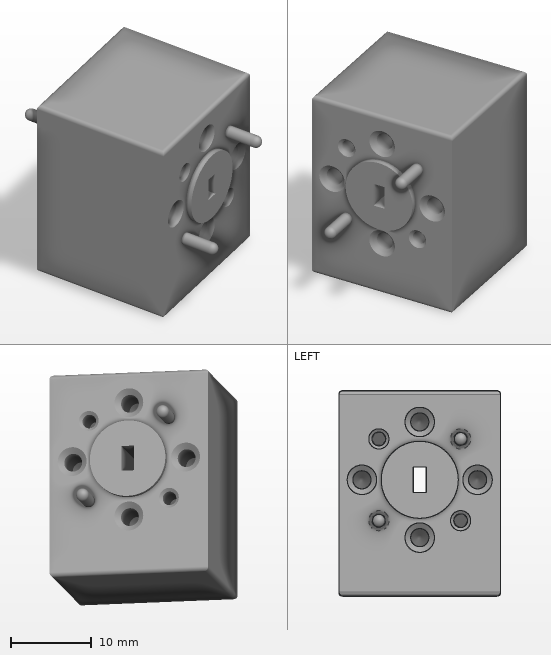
import cadquery as cq
import math


overall_length = 28.0
block_length = 18.5
block_width = 20.0
block_height = 25.4
edge_radius = 0.5

port_height = 1.68
flange_diameter = 9.52
flange_thickness = 0.75
bolt_circle_diameter = 14.28

channel_width = 1.57
channel_height = 3.1

pin_diameter = 1.57
pin_embedment = 1.57
pin_angles = (45, 225)
pin_hole_angles = (135, 315)
pin_hole_diameter = 1.7
pin_hole_mouth_diameter = 2.5
pin_hole_depth = 5.0

screw_angles = (0, 90, 180, 270)
screw_hole_diameter = 2.25
screw_hole_mouth_diameter = 3.65
screw_hole_depth = 6.0
drill_point_angle = 118.0

end_face = block_length / 2
pin_radius = pin_diameter / 2
bolt_circle_radius = bolt_circle_diameter / 2


def bolt_circle_point(angle):
    """Y and Z of a bolt-circle station, angle measured from +Y towards +Z."""
    turn = math.radians(angle)
    y = bolt_circle_radius * math.cos(turn)
    z = port_height + bolt_circle_radius * math.sin(turn)
    return y, z


def revolve_at(profile, angle):
    """Revolve an (X, radius) profile about X and move it to a bolt-circle station."""
    y, z = bolt_circle_point(angle)
    return profile.close().revolve(360, (0, 0, 0), (1, 0, 0)).translate((0, y, z))


def make_block():
    block = cq.Workplane("XY").box(block_length, block_width, block_height)
    return block.faces("|Z").edges().fillet(edge_radius)


def make_flange():
    return (
        cq.Workplane("YZ", origin=(end_face, 0, port_height))
        .circle(flange_diameter / 2)
        .extrude(flange_thickness)
    )


def make_pin(angle):
    """Dowel pin rooted inside the block, with a hemispherical tip."""
    root = end_face - pin_embedment
    tip = overall_length / 2
    shoulder = tip - pin_radius
    arc_offset = pin_radius * math.sqrt(0.5)
    profile = (
        cq.Workplane("XY")
        .moveTo(root, 0)
        .lineTo(root, pin_radius)
        .lineTo(shoulder, pin_radius)
        .threePointArc((shoulder + arc_offset, arc_offset), (tip, 0))
    )
    return revolve_at(profile, angle)


def make_hole(angle, diameter, mouth_diameter, depth, point_depth=0):
    """Blind hole with a 90 degree countersink and an optional conical drill point."""
    radius = diameter / 2
    mouth_radius = mouth_diameter / 2
    bottom = end_face - depth
    profile = (
        cq.Workplane("XY")
        .moveTo(end_face, 0)
        .lineTo(end_face, mouth_radius)
        .lineTo(end_face - (mouth_radius - radius), radius)
        .lineTo(bottom, radius)
        .lineTo(bottom - point_depth, 0)
    )
    return revolve_at(profile, angle)


def make_screw_hole(angle):
    half_point_angle = math.radians(drill_point_angle / 2)
    point_depth = screw_hole_diameter / 2 / math.tan(half_point_angle)
    return make_hole(
        angle, screw_hole_diameter, screw_hole_mouth_diameter, screw_hole_depth, point_depth
    )


def make_pin_hole(angle):
    return make_hole(angle, pin_hole_diameter, pin_hole_mouth_diameter, pin_hole_depth)


def make_channel():
    channel = cq.Workplane("XY").box(overall_length, channel_width, channel_height)
    return channel.translate((0, 0, port_height))


added = [make_flange()]
added += [make_pin(angle) for angle in pin_angles]

removed = [make_screw_hole(angle) for angle in screw_angles]
removed += [make_pin_hole(angle) for angle in pin_hole_angles]

result = make_block()
for end_turn in (0, 180):
    for feature in added:
        result = result.union(feature.rotate((0, 0, 0), (0, 0, 1), end_turn))
    for feature in removed:
        result = result.cut(feature.rotate((0, 0, 0), (0, 0, 1), end_turn))

result = result.cut(make_channel())